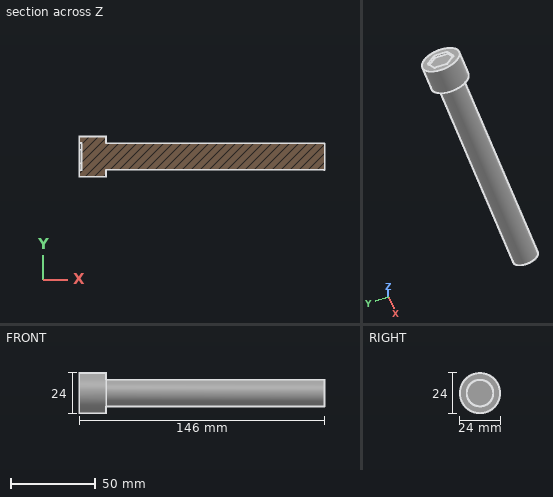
import cadquery as cq
import math

head_diameter = 24.0
head_length = 16.0
shank_diameter = 16.0
shank_length = 130.0
tip_chamfer = 0.2
socket_across_flats = 14.0
socket_depth = 1.5

total_length = head_length + shank_length
socket_across_corners = socket_across_flats / math.cos(math.pi / 6)


def make_head():
    """Plain cylindrical head."""
    return cq.Workplane("YZ").circle(head_diameter / 2).extrude(head_length)


def make_shank():
    """Core running from the head face to the tip, chamfered at the tip."""
    core = cq.Workplane("YZ").circle(shank_diameter / 2).extrude(total_length)
    return core.faces(">X").edges().chamfer(tip_chamfer)


def make_socket():
    """Shallow hexagonal socket with two corners on the Y axis."""
    return cq.Workplane("YZ").polygon(6, socket_across_corners).extrude(socket_depth)


result = make_head().union(make_shank()).cut(make_socket())